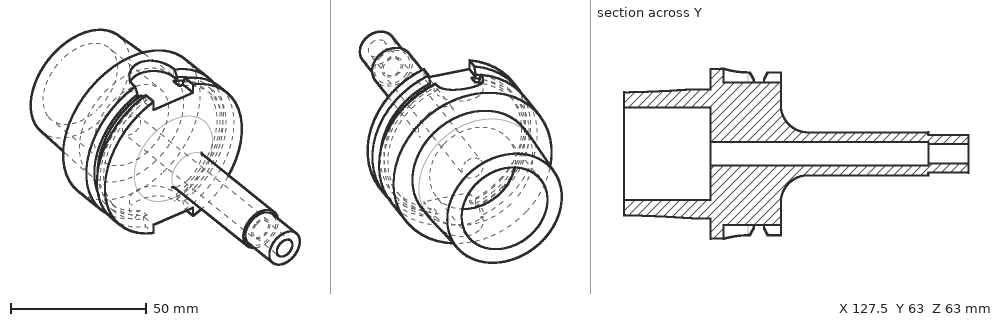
import cadquery as cq

total_length = 127.5
taper_end = 25.5
flange_start = 32.0
groove_chamfer_start = 46.5
groove_start = 48.1
groove_end = 51.8
lip_start = 53.2
flange_end = 58.1
nose_start = 112.6

taper_small_radius = 22.8
collar_radius = 24.0
flange_radius = 31.5
groove_radius = 27.4
groove_chamfer_radius = 29.0
shaft_radius = 8.0
nose_radius = 7.0
neck_fillet_radius = 10.0

socket_radius = 17.1
socket_depth = flange_start
channel_radius = 4.2
nose_hole_radius = 3.6

slot_half_width = 9.0
slot_closed_end = 36.8
slot_floor_height = 26.4


def make_body():
    """Revolve the outer profile about the X axis."""
    neck_end = flange_end + neck_fillet_radius
    neck_start_radius = shaft_radius + neck_fillet_radius
    profile = (
        cq.Workplane("XY")
        .lineTo(0, taper_small_radius)
        .lineTo(taper_end, collar_radius)
        .lineTo(flange_start, collar_radius)
        .lineTo(flange_start, flange_radius)
        .lineTo(groove_chamfer_start, flange_radius)
        .lineTo(groove_start, groove_chamfer_radius)
        .lineTo(groove_start, groove_radius)
        .lineTo(groove_end, groove_radius)
        .lineTo(groove_end, groove_chamfer_radius)
        .lineTo(lip_start, flange_radius)
        .lineTo(flange_end, flange_radius)
        .lineTo(flange_end, neck_start_radius)
        .radiusArc((neck_end, shaft_radius), -neck_fillet_radius)
        .lineTo(nose_start, shaft_radius)
        .lineTo(nose_start, nose_radius)
        .lineTo(total_length, nose_radius)
        .lineTo(total_length, 0)
        .close()
    )
    return profile.revolve(360, (0, 0, 0), (1, 0, 0))


def make_bore_step(start, end, radius):
    """Coaxial cylinder between two positions along X."""
    return cq.Workplane("YZ", origin=(start, 0, 0)).circle(radius).extrude(end - start)


def make_top_slot():
    """Cutter for a flat-floored slot, rounded at one end and open at the shaft side."""
    arc_center = slot_closed_end + slot_half_width
    return (
        cq.Workplane("XY", origin=(0, 0, slot_floor_height))
        .moveTo(flange_end, slot_half_width)
        .lineTo(arc_center, slot_half_width)
        .threePointArc((slot_closed_end, 0), (arc_center, -slot_half_width))
        .lineTo(flange_end, -slot_half_width)
        .close()
        .extrude(flange_radius - slot_floor_height)
    )


result = make_body()

bore_steps = [
    (0, socket_depth, socket_radius),
    (socket_depth, nose_start, channel_radius),
    (nose_start, total_length, nose_hole_radius),
]
for start, end, radius in bore_steps:
    result = result.cut(make_bore_step(start, end, radius))

top_slot = make_top_slot()
result = result.cut(top_slot).cut(top_slot.mirror("XY"))